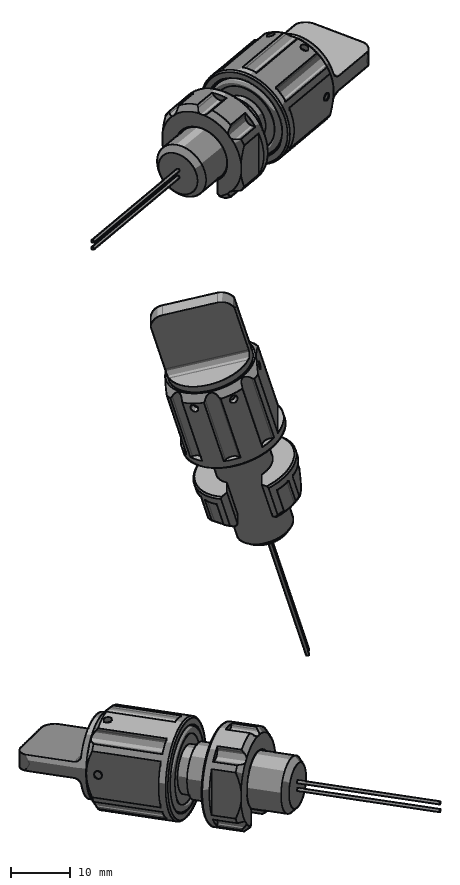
import cadquery as cq
import math


GRIP_RADIUS = 9.0
FLANGE_LENGTH = 1.55
FLANGE_EDGE_CHAMFER = 0.3
FLAT_DISTANCE = 8.0
GROOVE_ANGLES = (45, 90, 135, 225, 270, 315)
GROOVE_FLOOR = 8.0
GROOVE_SHOULDER = (1.2, 8.6)
GROOVE_FLARE_END = (1.8, 9.15)

OVERALL_LENGTH = 73.8
WIRE_LENGTH = 25.7
WIRE_RADIUS = 0.3
WIRE_OFFSET = 0.7
SHANK_DIAMETER = 9.95
SHANK_RADIUS = SHANK_DIAMETER / 2
SHANK_LENGTH = 18.0
SHANK_CHAMFER = 1.0
NECK_RADIUS = 4.3
CAP_FRONT = 20.0
CAP_BACK = 35.1
CAP_CHAMFER = 1.2
SEAL_RING_RADIUS = 6.7
SEAL_SECTION_RADIUS = 0.7
SEAL_PROTRUSION = 0.45
SEAL_GROOVE_RADIUS = 7.6
SEAL_GROOVE_DEPTH = 0.45
DIMPLE_RADIUS = 0.7
DIMPLE_FLOOR = 7.8
DIMPLE_Y = 32.9
DIMPLE_ANGLES = (0, 67.5, 112.5, 180, 247.5, 292.5)

DISC_RADIUS = 7.45
DISC_THICKNESS = 1.2
BLADE_THICKNESS = 2.95
BLADE_CORNER_RADIUS = 2.65
BLADE_ROOT_FILLET = 1.2

NUT_FRONT = 7.1
NUT_BACK = 13.95
NUT_CHAMFER = 0.95
SLOT_WIDTH = 6.05
OPENING_BEVEL = 0.2
SLOT_MOUTH_START = 6.9
SLOT_OVERSHOOT = 0.75


def rod(radius, y_start, y_end, x=0.0, z=0.0):
    """Cylinder parallel to Y between two Y positions."""
    return cq.Workplane("XZ", origin=(x, y_start, z)).circle(radius).extrude(y_start - y_end)


def revolve_about_y(points):
    """Turn a closed outline of (radius, y) points about the Y axis."""
    return cq.Workplane("XY").polyline(points).close().revolve(360, (0, 0, 0), (0, 1, 0))


def groove_cutter(angle, y_start, y_end):
    """Bar along Y with a round bottom and flared sides; 0 degrees is +X and 90 degrees is +Z."""
    shoulder_x, shoulder_z = GROOVE_SHOULDER
    flare_x, flare_z = GROOVE_FLARE_END
    profile = (
        cq.Workplane("XZ", origin=(0, y_start, 0))
        .moveTo(-flare_x, flare_z)
        .lineTo(-shoulder_x, shoulder_z)
        .threePointArc((0, GROOVE_FLOOR), (shoulder_x, shoulder_z))
        .lineTo(flare_x, flare_z)
        .close()
    )
    return profile.extrude(y_start - y_end).rotate((0, 0, 0), (0, 1, 0), 90 - angle)


def grip(flange_end, free_end, free_end_chamfer):
    """Round grip: a plain flange at one end, then a barrel with grooves, two flats and a chamfered end."""
    direction = math.copysign(1, free_end - flange_end)
    barrel_start = flange_end + direction * FLANGE_LENGTH
    body = revolve_about_y([
        (0, flange_end),
        (GRIP_RADIUS - FLANGE_EDGE_CHAMFER, flange_end),
        (GRIP_RADIUS, flange_end + direction * FLANGE_EDGE_CHAMFER),
        (GRIP_RADIUS, free_end - direction * free_end_chamfer),
        (GRIP_RADIUS - free_end_chamfer, free_end),
        (0, free_end),
    ])
    for angle in GROOVE_ANGLES:
        body = body.cut(groove_cutter(angle, barrel_start, free_end))

    flat_depth = GRIP_RADIUS - FLAT_DISTANCE
    for side in (-1, 1):
        flat_cut = cq.Workplane("XY").box(flat_depth, abs(free_end - barrel_start), 2 * GRIP_RADIUS)
        flat_x = side * (FLAT_DISTANCE + flat_depth / 2)
        body = body.cut(flat_cut.translate((flat_x, (barrel_start + free_end) / 2, 0)))
    return body


def dimple_cutter(angle):
    """Round cutter pointing out from the axis; 0 degrees is +X and 90 degrees is +Z."""
    outward = cq.Vector(math.cos(math.radians(angle)), 0, math.sin(math.radians(angle)))
    floor = outward * DIMPLE_FLOOR + cq.Vector(0, DIMPLE_Y, 0)
    return cq.Workplane(cq.Solid.makeCylinder(DIMPLE_RADIUS, GRIP_RADIUS, floor, outward))


def make_cap():
    """Grooved cap with a rounded sealing ring on its front and dimples near its back."""
    cap = grip(CAP_FRONT, CAP_BACK, CAP_CHAMFER)
    groove_floor = CAP_FRONT + SEAL_GROOVE_DEPTH
    seal_groove = rod(SEAL_GROOVE_RADIUS, CAP_FRONT, groove_floor)
    seal_groove = seal_groove.cut(rod(SEAL_RING_RADIUS, CAP_FRONT, groove_floor))
    cap = cap.cut(seal_groove)
    seal_ring = (
        cq.Workplane("XY")
        .center(SEAL_RING_RADIUS, CAP_FRONT - SEAL_PROTRUSION + SEAL_SECTION_RADIUS)
        .circle(SEAL_SECTION_RADIUS)
        .revolve(360, (-SEAL_RING_RADIUS, 0, 0), (-SEAL_RING_RADIUS, 1, 0))
    )
    cap = cap.union(seal_ring)
    for angle in DIMPLE_ANGLES:
        cap = cap.cut(dimple_cutter(angle))
    return cap


def make_handle():
    """Flat blade on a round disc, both inside one cylinder so that the blade's sides are round."""
    disc_back = CAP_BACK + DISC_THICKNESS
    blade_end = OVERALL_LENGTH - WIRE_LENGTH
    half_thickness = BLADE_THICKNESS / 2
    root_half = half_thickness + BLADE_ROOT_FILLET
    root_end = disc_back + BLADE_ROOT_FILLET
    profile = (
        cq.Workplane("YZ", origin=(-DISC_RADIUS, 0, 0))
        .moveTo(disc_back, -root_half)
        .radiusArc((root_end, -half_thickness), BLADE_ROOT_FILLET)
        .lineTo(blade_end, -half_thickness)
        .lineTo(blade_end, half_thickness)
        .lineTo(root_end, half_thickness)
        .radiusArc((disc_back, root_half), BLADE_ROOT_FILLET)
        .close()
    )
    blade = profile.extrude(2 * DISC_RADIUS)
    blade = blade.faces(">Y").edges("|Z").fillet(BLADE_CORNER_RADIUS)
    blade = blade.intersect(rod(DISC_RADIUS, disc_back, blade_end))
    return rod(DISC_RADIUS, CAP_BACK, disc_back).union(blade)


def make_plug():
    """Cap with its handle, neck, shank and two wires, all one solid."""
    shank = rod(SHANK_RADIUS, 0, SHANK_LENGTH).faces("<Y").chamfer(SHANK_CHAMFER)
    neck = rod(NECK_RADIUS, SHANK_LENGTH, CAP_FRONT)
    plug = make_cap().union(make_handle()).union(neck).union(shank)
    for side in (-1, 1):
        plug = plug.union(rod(WIRE_RADIUS, -WIRE_LENGTH, 0, z=side * WIRE_OFFSET))
    return plug


def slot_cutter(half_width, length, wall_taper=0):
    """Block from the axis down past the nut's rim, starting at the nut's front; its walls splay at the rim."""
    bottom = GRIP_RADIUS + SLOT_OVERSHOOT
    rim_half_width = half_width + bottom - SLOT_MOUTH_START
    outline = [
        (-half_width, 0),
        (-half_width, -SLOT_MOUTH_START),
        (-rim_half_width, -bottom),
        (rim_half_width, -bottom),
        (half_width, -SLOT_MOUTH_START),
        (half_width, 0),
    ]
    front = cq.Workplane("XZ", origin=(0, NUT_FRONT, 0)).polyline(outline).close()
    return front.extrude(-length, taper=wall_taper)


def make_nut():
    """Grooved nut that fits on the shank, open at the bottom through a slot as long as the nut."""
    nut = grip(NUT_BACK, NUT_FRONT, NUT_CHAMFER)
    nut = nut.cut(rod(SHANK_RADIUS, NUT_FRONT, NUT_BACK))
    nut = nut.cut(slot_cutter(SLOT_WIDTH / 2, NUT_BACK - NUT_FRONT))

    bore_bevel = revolve_about_y([
        (0, NUT_FRONT),
        (SHANK_RADIUS + OPENING_BEVEL, NUT_FRONT),
        (SHANK_RADIUS, NUT_FRONT + OPENING_BEVEL),
        (0, NUT_FRONT + OPENING_BEVEL),
    ])
    slot_bevel = slot_cutter(SLOT_WIDTH / 2 + OPENING_BEVEL, OPENING_BEVEL, wall_taper=45)
    return nut.cut(bore_bevel).cut(slot_bevel)


plug = make_plug()
nut = make_nut()

result = cq.Compound.makeCompound([plug.solids().val(), nut.solids().val()])